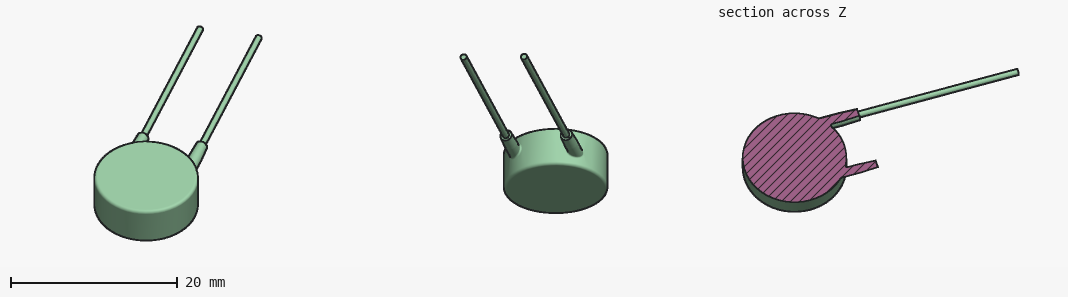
import cadquery as cq

total_length = 35.5
body_diameter = 12.5
body_height = 5.0
edge_radius = 0.4
lead_spacing = 7.5
lead_height_step = 1.0
wire_diameter = 0.78
sleeve_diameter = 1.6
sleeve_tip_diameter = 1.42
taper_start_y = 7.05
sleeve_end_y = 9.2
joint_radius = 0.18

body_radius = body_diameter / 2
wire_end_y = total_length - body_radius
lead_root_y = body_radius / 2


def make_body():
    """Round can centred on the origin, with both rims rounded."""
    body = cq.Workplane("XY").circle(body_radius).extrude(body_height)
    body = body.translate((0, 0, -body_height / 2))
    return body.faces("|Z").edges().fillet(edge_radius)


def make_lead(x, z):
    """Wire with a tapered sleeve, revolved about an axis parallel to Y."""
    sleeve_radius = sleeve_diameter / 2
    tip_radius = sleeve_tip_diameter / 2
    wire_radius = wire_diameter / 2
    profile = (
        cq.Workplane("YZ")
        .moveTo(lead_root_y, 0)
        .lineTo(lead_root_y, sleeve_radius)
        .lineTo(taper_start_y, sleeve_radius)
        .lineTo(sleeve_end_y, tip_radius)
        .lineTo(sleeve_end_y, wire_radius)
        .lineTo(wire_end_y, wire_radius)
        .lineTo(wire_end_y, 0)
        .close()
    )
    lead = profile.revolve(360, (0, 0, 0), (1, 0, 0))
    return lead.translate((x, 0, z))


def round_joints(part):
    """Fillet the curves where the sleeves enter the curved wall of the body."""
    margin = joint_radius
    joint_zone = cq.selectors.BoxSelector(
        (-body_radius, 0, -body_height / 2 + edge_radius + margin),
        (body_radius, taper_start_y - margin, body_height / 2 - edge_radius - margin),
        boundingbox=True,
    )
    return part.edges(joint_zone).fillet(joint_radius)


result = make_body()
for side in (-1, 1):
    result = result.union(make_lead(side * lead_spacing / 2, side * lead_height_step / 2))
result = round_joints(result)